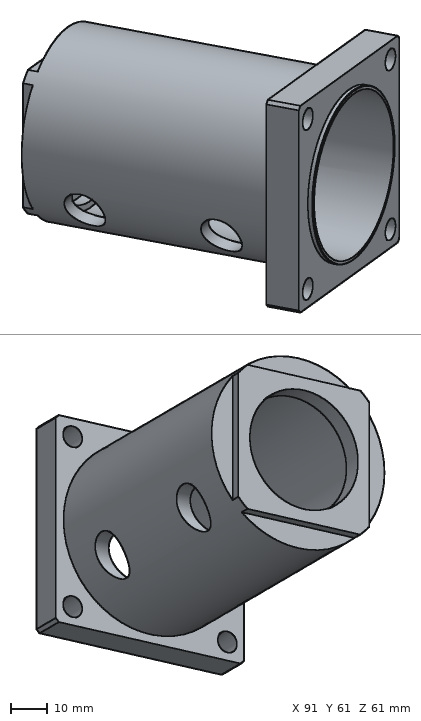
import cadquery as cq

total_length = 91.0
key_length = 3.0
spigot_length = 1.5
flange_thickness = 10.0
flange_end = total_length - spigot_length
flange_start = flange_end - flange_thickness

body_diameter = 56.0
key_width = 42.4
flange_width = 61.0
flange_corner_chamfer = 1.0
spigot_diameter = 50.0
spigot_chamfer = 0.2

lip_bore_diameter = 35.0
lip_length = 6.0
step_bore_diameter = 44.0
step_end = 10.0
main_bore_diameter = 48.0

bolt_hole_diameter = 6.2
bolt_spacing = 50.05
cross_hole_diameter = 12.0
cross_hole_drop = 15.0
cross_hole_stations = (20.2, 62.2)


def cylinder(diameter, start, end):
    """Cylinder on the X axis between two stations."""
    return cq.Workplane("YZ", origin=(start, 0, 0)).circle(diameter / 2).extrude(end - start)


def square_bar(width, start, end):
    """Square bar centred on the X axis between two stations."""
    return cq.Workplane("YZ", origin=(start, 0, 0)).rect(width, width).extrude(end - start)


body = cylinder(body_diameter, key_length, flange_end)
key = cylinder(body_diameter, 0, key_length).intersect(square_bar(key_width, 0, key_length))

flange = square_bar(flange_width, flange_start, flange_end).edges("|X").chamfer(flange_corner_chamfer)
spigot = cylinder(spigot_diameter, flange_end, total_length).faces(">X").chamfer(spigot_chamfer)

result = body.union(key).union(flange).union(spigot)

result = result.cut(cylinder(lip_bore_diameter, 0, lip_length))
result = result.cut(cylinder(step_bore_diameter, lip_length, step_end))
result = result.cut(cylinder(main_bore_diameter, step_end, total_length))

bolt_holes = (
    cq.Workplane("YZ", origin=(flange_start, 0, 0))
    .rect(bolt_spacing, bolt_spacing, forConstruction=True)
    .vertices()
    .circle(bolt_hole_diameter / 2)
    .extrude(flange_thickness)
)
result = result.cut(bolt_holes)

for station in cross_hole_stations:
    cross_hole = (
        cq.Workplane("XZ", origin=(station, 0, -cross_hole_drop))
        .circle(cross_hole_diameter / 2)
        .extrude(flange_width / 2, both=True)
    )
    result = result.cut(cross_hole)